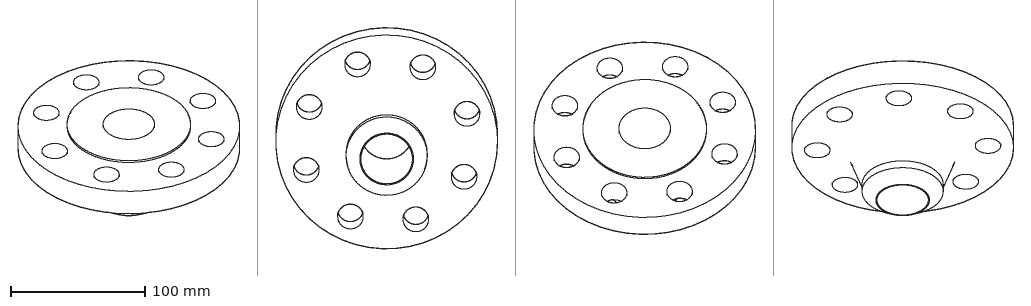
import cadquery as cq
import math

flange_diameter = 165.1
flange_thickness = 20.6
face_diameter = 92.1
face_height = 1.7
total_height = 69.8

bolt_count = 8
bolt_circle_diameter = 127.1
bolt_hole_diameter = 19.0
bore_diameter = 38.3

hub_top_radius = 42.1
neck_radius = 60.5 / 2
neck_bottom_z = 8.0
neck_top_z = 14.2
weld_end_radius = 20.0
hub_fillet_radius = 4.1

flange_top_z = total_height - face_height
flange_bottom_z = flange_top_z - flange_thickness

cone_angle = math.atan2(hub_top_radius - neck_radius, flange_bottom_z - neck_top_z)
tangent_length = hub_fillet_radius * math.tan((math.pi / 2 + cone_angle) / 2)
fillet_start = (
    hub_top_radius - tangent_length * math.sin(cone_angle),
    flange_bottom_z - tangent_length * math.cos(cone_angle),
)
fillet_end = (hub_top_radius + tangent_length, flange_bottom_z)


def make_body():
    """Revolve the half section, with radius along local X and height along local Y."""
    section = (
        cq.Workplane("XZ")
        .moveTo(bore_diameter / 2, 0)
        .lineTo(weld_end_radius, 0)
        .lineTo(neck_radius, neck_bottom_z)
        .lineTo(neck_radius, neck_top_z)
        .lineTo(*fillet_start)
        .tangentArcPoint(fillet_end, relative=False)
        .lineTo(flange_diameter / 2, flange_bottom_z)
        .lineTo(flange_diameter / 2, flange_top_z)
        .lineTo(face_diameter / 2, flange_top_z)
        .lineTo(face_diameter / 2, total_height)
        .lineTo(bore_diameter / 2, total_height)
        .close()
    )
    return section.revolve(360, (0, 0, 0), (0, 1, 0))


def make_bolt_holes():
    """Ring of cutters through the flange plate, the first one on +X."""
    return (
        cq.Workplane("XY", origin=(0, 0, flange_bottom_z))
        .polarArray(bolt_circle_diameter / 2, 0, 360, bolt_count)
        .circle(bolt_hole_diameter / 2)
        .extrude(flange_thickness)
    )


result = make_body().cut(make_bolt_holes())